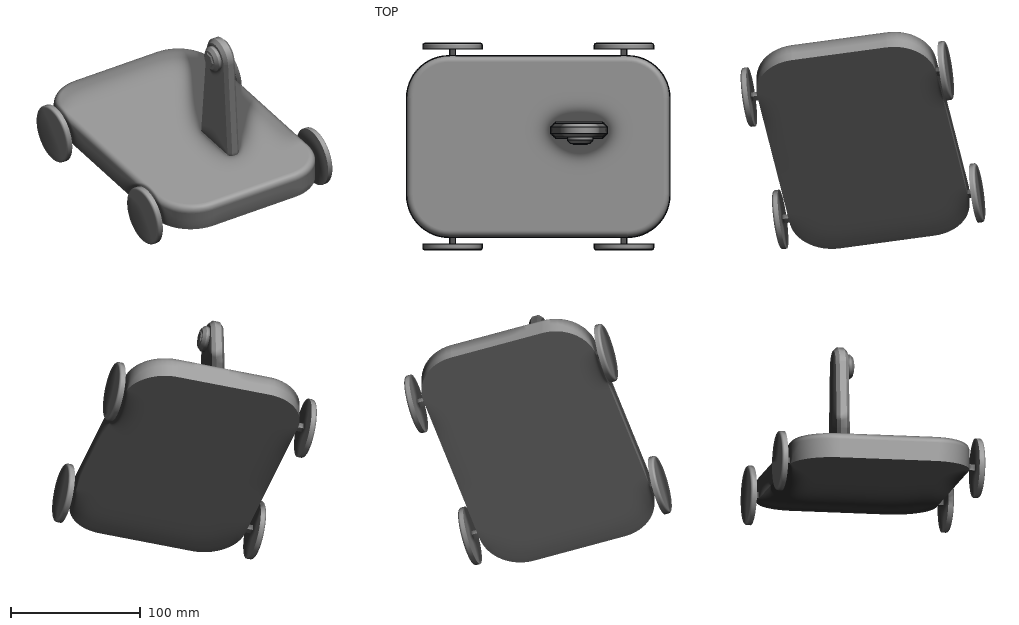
import cadquery as cq
import math

body_length = 203.2
body_width = 140.2
body_height = 20.0
body_corner_radius = 33.0
body_top_fillet = 5.0

track_width = 159.3
wheel_radius = 23.0
wheel_thickness = 4.7
wheel_edge_fillet = 1.8
axle_side = 4.7
axle_height = 3.3
wheel_x = 66.0

post_x = 31.5
head_offset = 0.8
post_y = 12.5
post_thickness = 10.2
post_base_half_width = 22.0
post_head_radius = 15.0
overall_height = 134.7
post_top_height = axle_height - wheel_radius + overall_height
post_head_height = post_top_height - post_head_radius
post_chamfer = 2.6
post_root_depth = 8.1
flare_reach = 1.2
flare_height = 0.6

button_radius = 10.0
button_height = 5.0
button_chamfer = 2.5
hex_base_flats = 10.5
hex_height = 0.8
hex_turn = 30


def make_body():
    return (
        cq.Workplane("XY")
        .rect(body_length, body_width)
        .extrude(body_height)
        .edges("|Z")
        .fillet(body_corner_radius)
        .faces(">Z")
        .edges()
        .fillet(body_top_fillet)
    )


def make_wheel(x, side):
    """Wheel outside the body at the given X; side is -1 for -Y, +1 for +Y."""
    outer_y = side * track_width / 2
    inner_y = outer_y - side * wheel_thickness
    outer_face = ">Y" if side > 0 else "<Y"
    return (
        cq.Workplane("XZ", origin=(x, inner_y, axle_height))
        .circle(wheel_radius)
        .extrude(-side * wheel_thickness)
        .faces(outer_face)
        .edges()
        .fillet(wheel_edge_fillet)
    )


def make_axle(x):
    """Square bar through the body, ending at the inner faces of both wheels."""
    length = track_width - 2 * wheel_thickness
    return cq.Workplane("XY").box(axle_side, length, axle_side).translate((x, 0, axle_height))


def side_points(side):
    """Root and tangent points of one sloped side; side is -1 for -X, +1 for +X."""
    head_rise = post_head_height - body_height
    run = post_base_half_width - side * head_offset
    span = math.hypot(head_rise, run)
    angle = math.acos(post_head_radius / span) - math.atan2(head_rise, run)
    root_x = side * (post_base_half_width + post_root_depth * math.tan(angle))
    root = (root_x, body_height - post_root_depth)
    tangent = (
        head_offset + side * post_head_radius * math.cos(angle),
        post_head_height + post_head_radius * math.sin(angle),
    )
    return root, tangent


def make_post():
    """Plate with straight sides tangent to its round head, rooted inside the body."""
    left_root, left_tangent = side_points(-1)
    right_root, right_tangent = side_points(1)
    return (
        cq.Workplane("XZ", origin=(post_x, post_y + post_thickness / 2, 0))
        .moveTo(*left_root)
        .lineTo(*right_root)
        .lineTo(*right_tangent)
        .threePointArc((head_offset, post_top_height), left_tangent)
        .close()
        .extrude(post_thickness)
        .faces("<Y or >Y")
        .edges()
        .chamfer(post_chamfer)
    )


def make_flare():
    """Low sloped skirt along the front and back of the post where it meets the body."""
    top_length = 2 * (post_base_half_width - post_chamfer)
    return (
        cq.Workplane("XY", origin=(post_x, post_y, body_height))
        .rect(top_length - 2 * flare_reach, post_thickness + 2 * flare_reach)
        .workplane(offset=flare_height)
        .rect(top_length, post_thickness)
        .loft(ruled=True)
    )


def make_button():
    head_x = post_x + head_offset
    face_y = post_y - post_thickness / 2
    button = (
        cq.Workplane("XZ", origin=(head_x, face_y, post_head_height))
        .circle(button_radius)
        .extrude(button_height)
        .faces("<Y")
        .edges()
        .chamfer(button_chamfer)
    )
    hex_boss = (
        cq.Workplane("XZ", origin=(head_x, face_y - button_height, post_head_height))
        .transformed(rotate=(0, 0, hex_turn))
        .polygon(6, hex_base_flats, circumscribed=True)
        .workplane(offset=hex_height)
        .polygon(6, hex_base_flats - 2 * hex_height, circumscribed=True)
        .loft(ruled=True)
    )
    return button.union(hex_boss)


result = make_body().union(make_post()).union(make_flare()).union(make_button())
for x in (-wheel_x, wheel_x):
    result = result.union(make_axle(x))
    for side in (-1, 1):
        result = result.union(make_wheel(x, side))